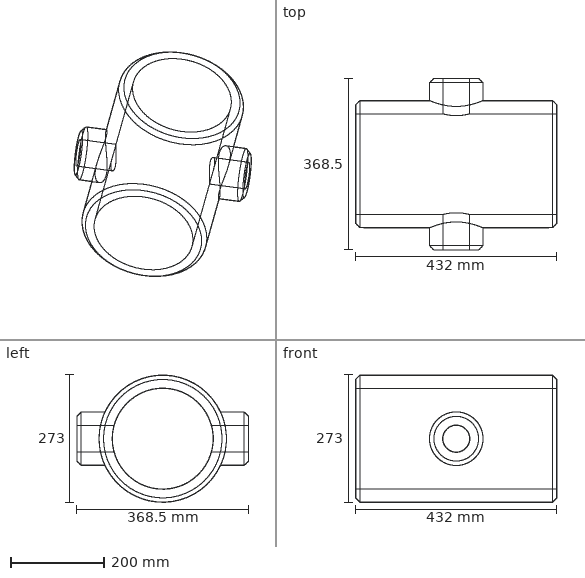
import cadquery as cq

pipe_length = 432.0
pipe_diameter = 273.0
pipe_bore = 216.0

branch_span = 368.5
branch_diameter = 115.0
branch_bore = 57.5

bevel = 9.5


def beveled_bar(plane, diameter, length):
    """Solid round bar centred on the origin, beveled at both ends."""
    bar = cq.Workplane(plane).circle(diameter / 2).extrude(length / 2, both=True)
    return bar.edges("%CIRCLE").chamfer(bevel)


def through_bore(plane, diameter, length):
    """Round cutter centred on the origin."""
    return cq.Workplane(plane).circle(diameter / 2).extrude(length / 2, both=True)


pipe = beveled_bar("YZ", pipe_diameter, pipe_length)
branches = beveled_bar("XZ", branch_diameter, branch_span)

result = (
    pipe.union(branches)
    .cut(through_bore("YZ", pipe_bore, pipe_length))
    .cut(through_bore("XZ", branch_bore, branch_span))
)